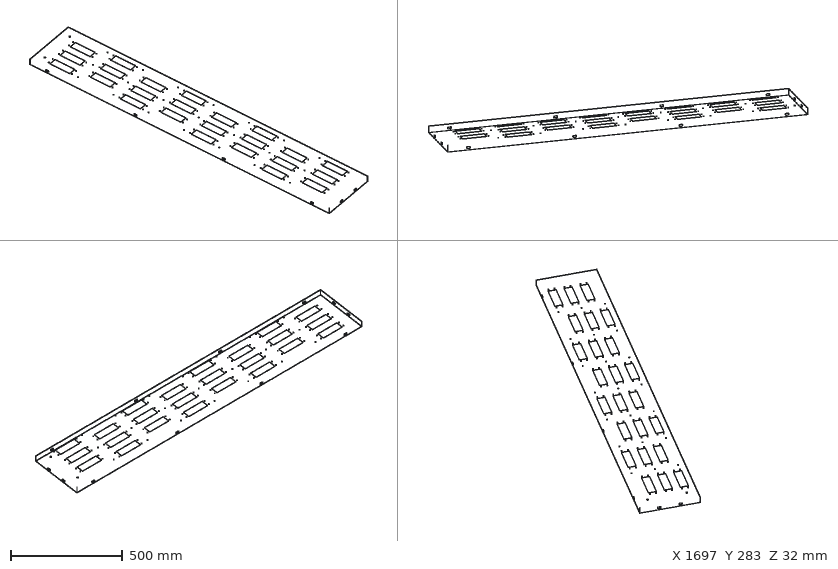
import cadquery as cq

length = 1697.0
width = 283.0
height = 32.0
sheet = 2.0
bend_radius = 2.4

column_count = 8
column_span = 1400.0
column_pitch = column_span / (column_count - 1)
row_count = 3
window_length = 112.0
window_width = 37.0
row_pitch = 75.0
row_shift = row_pitch / 4

hole_diameter = 4.0
window_hole_x = 66.0
window_hole_y = 14.5
fixing_row_pitch = 109.0
end_hole_diameter = 7.0
end_hole_inset = 48.0
end_hole_spacing = 183.0

cutter_height = 3 * sheet

slot_length = 17.0
slot_width = 8.0
slot_drop = 20.0
long_wall_slot_count = 4
long_wall_slot_span = 1500.0
long_wall_slot_pitch = long_wall_slot_span / (long_wall_slot_count - 1)
end_wall_slot_count = 2
end_wall_slot_pitch = 100.0


def centred_positions(count, pitch):
    """Evenly spaced positions, symmetric about zero."""
    return [(i - (count - 1) / 2) * pitch for i in range(count)]


def make_tray():
    """Top sheet with four walls and rounded bends between them."""
    outer = cq.Workplane("XY").box(length, width, height, centered=(True, True, False))
    outer = outer.faces(">Z").edges().fillet(bend_radius)
    cavity = cq.Workplane("XY").box(
        length - 2 * sheet, width - 2 * sheet, height - sheet, centered=(True, True, False)
    )
    cavity = cavity.faces(">Z").edges().fillet(bend_radius - sheet)
    return outer.cut(cavity)


def top_sheet_plane():
    """Plane one sheet thickness below the underside of the top sheet."""
    return cq.Workplane("XY", origin=(0, 0, height - 2 * sheet))


def round_holes(points, diameter):
    """Cylinders that pass through the top sheet."""
    return top_sheet_plane().pushPoints(points).circle(diameter / 2).extrude(cutter_height)


def window_centres():
    """Centres of all windows, with neighbouring columns shifted opposite ways."""
    centres = []
    for column, x in enumerate(centred_positions(column_count, column_pitch)):
        shift = row_shift if column % 2 else -row_shift
        centres += [(x, y + shift) for y in centred_positions(row_count, row_pitch)]
    return centres


def wall_slots(plane, count, pitch, depth):
    """Slots that pass through both opposite walls."""
    points = [(u, height - slot_drop) for u in centred_positions(count, pitch)]
    return (
        cq.Workplane(plane)
        .pushPoints(points)
        .slot2D(slot_length, slot_width)
        .extrude(depth, both=True)
    )


centres = window_centres()
windows = top_sheet_plane().pushPoints(centres).rect(window_length, window_width).extrude(cutter_height)
window_holes = round_holes(
    [
        (x + side_x * window_hole_x, y + side_y * window_hole_y)
        for x, y in centres
        for side_x in (-1, 1)
        for side_y in (-1, 1)
    ],
    hole_diameter,
)
fixing_holes = round_holes(
    [
        (x, y)
        for x in centred_positions(column_count - 1, column_pitch)
        for y in centred_positions(row_count, fixing_row_pitch)
    ],
    hole_diameter,
)
end_holes = round_holes(
    [(end_hole_inset - length / 2, y) for y in centred_positions(2, end_hole_spacing)],
    end_hole_diameter,
)

result = (
    make_tray()
    .cut(windows)
    .cut(window_holes)
    .cut(fixing_holes)
    .cut(end_holes)
    .cut(wall_slots("XZ", long_wall_slot_count, long_wall_slot_pitch, width))
    .cut(wall_slots("YZ", end_wall_slot_count, end_wall_slot_pitch, length))
)